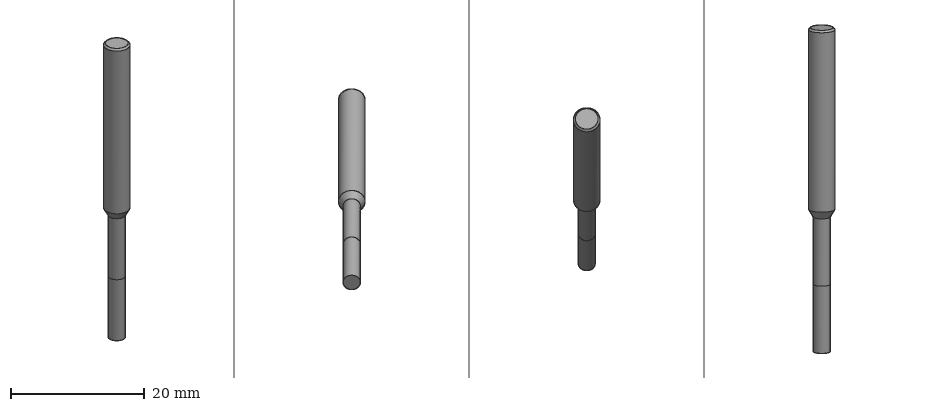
import cadquery as cq
import math

total_length = 50.0

shank_radius = 2.0
shank_length = 28.0
shank_bottom_z = total_length - shank_length
bevel_size = 0.3

neck_radius = 1.3
tip_length = 10.4

taper_half_angle = 30.0
taper_height = (shank_radius - neck_radius) / math.tan(math.radians(taper_half_angle))
neck_top_z = shank_bottom_z - taper_height


def make_tip():
    """Plain cylindrical tip that butts against the lower end of the neck."""
    return cq.Workplane("XY").circle(neck_radius).extrude(tip_length)


def make_holder():
    """Neck, conical taper and bevelled shank, revolved about Z as one body."""
    half_profile = (
        cq.Workplane("XZ")
        .moveTo(0, tip_length)
        .lineTo(neck_radius, tip_length)
        .lineTo(neck_radius, neck_top_z)
        .lineTo(shank_radius, shank_bottom_z)
        .lineTo(shank_radius, total_length - bevel_size)
        .lineTo(shank_radius - bevel_size, total_length)
        .lineTo(0, total_length)
        .close()
    )
    return half_profile.revolve(360, (0, 0, 0), (0, 1, 0))


tip = make_tip()
holder = make_holder()

result = cq.Compound.makeCompound([tip.val(), holder.val()])